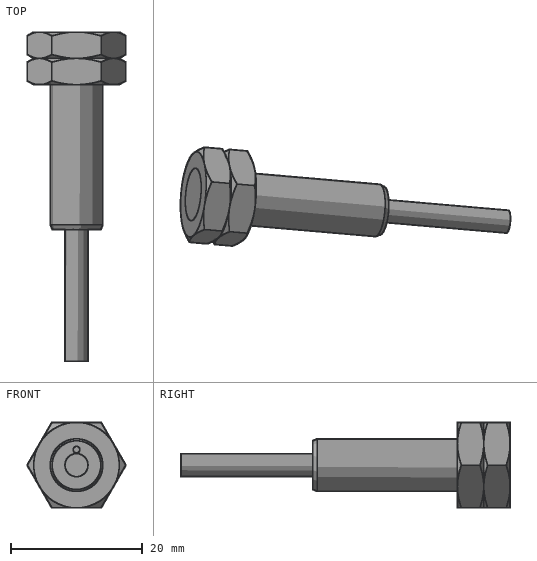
import cadquery as cq
import math

total_length = 50.0
barrel_length = 30.0
barrel_diameter = 8.0
cable_diameter = 3.5

barrel_chamfer_length = 0.7
barrel_chamfer_depth = 0.3

indicator_diameter = 1.0
indicator_offset = 2.35
indicator_depth = 0.5

nut_count = 2
nut_sides = 6
nut_across_flats = 13.0
nut_thickness = 4.0
nut_chamfer_angle = 30.0


def rod(diameter, start, length, height=0.0):
    """Cylinder running from Y = start toward -Y, with its axis at Z = height."""
    plane = cq.Workplane("XZ", origin=(0, start, height))
    return plane.circle(diameter / 2).extrude(length)


def make_sensor():
    """Chamfered barrel with its cable and indicator recess, as one solid."""
    barrel = rod(barrel_diameter, 0, barrel_length)
    barrel = barrel.faces("<Y").chamfer(barrel_chamfer_length, barrel_chamfer_depth)
    cable = rod(cable_diameter, -barrel_length, total_length - barrel_length)
    indicator_floor = -barrel_length + indicator_depth
    indicator = rod(indicator_diameter, indicator_floor, indicator_depth, indicator_offset)
    return barrel.cut(indicator).union(cable)


def make_nut(start):
    """Hexagon nut from Y = start toward -Y, its corners chamfered on both faces."""
    corner_radius = nut_across_flats / 2 / math.cos(math.pi / nut_sides)
    face_radius = nut_across_flats / 2
    chamfer_length = (corner_radius - face_radius) * math.tan(math.radians(nut_chamfer_angle))
    end = start - nut_thickness

    blank = (
        cq.Workplane("XZ", origin=(0, start, 0))
        .polygon(nut_sides, 2 * corner_radius)
        .extrude(nut_thickness)
    )
    chamfer_envelope = (
        cq.Workplane("XY")
        .polyline([
            (0, start),
            (face_radius, start),
            (corner_radius, start - chamfer_length),
            (corner_radius, end + chamfer_length),
            (face_radius, end),
            (0, end),
        ])
        .close()
        .revolve(360, (0, 0, 0), (0, 1, 0))
    )
    bore = rod(barrel_diameter, start, nut_thickness)
    return blank.intersect(chamfer_envelope).cut(bore)


sensor = make_sensor()
nuts = [make_nut(-index * nut_thickness) for index in range(nut_count)]

result = cq.Compound.makeCompound([sensor.val(), *[nut.val() for nut in nuts]])